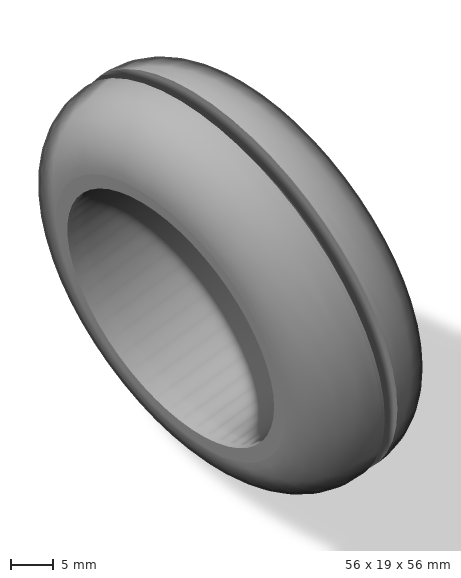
import cadquery as cq

outer_diameter = 56.0
bore_diameter = 36.0
groove_diameter = 48.0
width = 19.0
groove_width = 2.0
rounding_radius = 8.0


def centred_ring(outside, inside, length):
    """Plain ring around the Y axis, centred on the origin."""
    return (
        cq.Workplane("XZ", origin=(0, length / 2, 0))
        .circle(outside / 2)
        .circle(inside / 2)
        .extrude(length)
    )


ring = centred_ring(outer_diameter, bore_diameter, width)

outer_rims = cq.selectors.RadiusNthSelector(-1)
ring = ring.edges("%CIRCLE").edges(outer_rims).fillet(rounding_radius)

groove = centred_ring(outer_diameter, groove_diameter, groove_width)

result = ring.cut(groove)